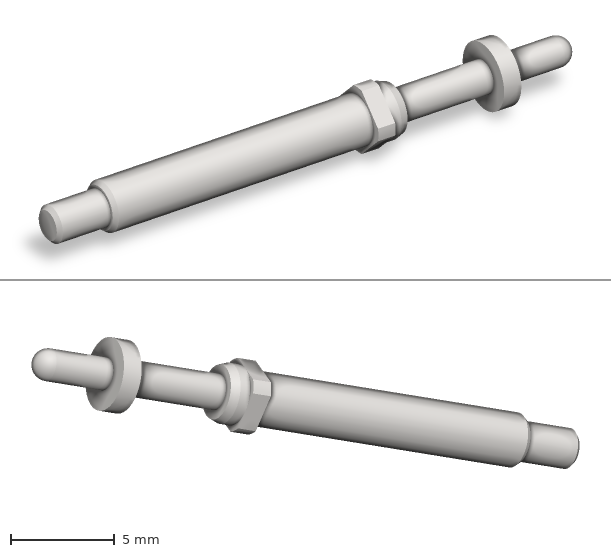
import cadquery as cq
import math


total_length = 30.3

pin_diameter = 1.6
flange_diameter = 3.6
neck_diameter = 1.8
shoulder_diameter = 3.0
collar_diameter = flange_diameter
barrel_diameter = 2.7
tail_diameter = 2.0
collar_across_flats = 3.0

collar_length = 1.0
shoulder_length = 1.0
neck_length = 5.3
flange_length = 1.0
barrel_length = 15.0
tail_length = 3.0

shoulder_bevel = (0.15, 0.45)
barrel_bevel = (0.18, 0.25)
tail_bevel = (0.2, 0.2)

barrel_end_y = -barrel_length
tail_end_y = barrel_end_y - tail_length
collar_front_y = collar_length
shoulder_front_y = collar_front_y + shoulder_length
flange_rear_y = shoulder_front_y + neck_length
flange_front_y = flange_rear_y + flange_length
tip_y = tail_end_y + total_length


def make_turned_body():
    """Revolve the half profile of every round section about the Y axis."""
    pin_radius = pin_diameter / 2
    flange_radius = flange_diameter / 2
    neck_radius = neck_diameter / 2
    shoulder_radius = shoulder_diameter / 2
    barrel_radius = barrel_diameter / 2
    tail_radius = tail_diameter / 2

    dome_center_y = tip_y - pin_radius
    dome_mid = (
        pin_radius * math.sin(math.pi / 4),
        dome_center_y + pin_radius * math.cos(math.pi / 4),
    )

    profile = (
        cq.Workplane("XY")
        .moveTo(0, tail_end_y)
        .lineTo(tail_radius - tail_bevel[0], tail_end_y)
        .lineTo(tail_radius, tail_end_y + tail_bevel[1])
        .lineTo(tail_radius, barrel_end_y)
        .lineTo(barrel_radius - barrel_bevel[0], barrel_end_y)
        .lineTo(barrel_radius, barrel_end_y + barrel_bevel[1])
        .lineTo(barrel_radius, collar_front_y)
        .lineTo(shoulder_radius, collar_front_y)
        .lineTo(shoulder_radius, shoulder_front_y - shoulder_bevel[1])
        .lineTo(shoulder_radius - shoulder_bevel[0], shoulder_front_y)
        .lineTo(neck_radius, shoulder_front_y)
        .lineTo(neck_radius, flange_rear_y)
        .lineTo(flange_radius, flange_rear_y)
        .lineTo(flange_radius, flange_front_y)
        .lineTo(pin_radius, flange_front_y)
        .lineTo(pin_radius, dome_center_y)
        .threePointArc(dome_mid, (0, tip_y))
        .close()
    )
    return profile.revolve(360, (0, 0, 0), (0, 1, 0))


def make_collar():
    """Square collar turned 45 degrees, its corners rounded to a circle about Y."""
    square = (
        cq.Workplane("XZ")
        .rect(collar_across_flats, collar_across_flats)
        .extrude(-collar_length)
        .rotate((0, 0, 0), (0, 1, 0), 45)
    )
    disc = cq.Workplane("XZ").circle(collar_diameter / 2).extrude(-collar_length)
    return square.intersect(disc)


result = make_turned_body().union(make_collar())